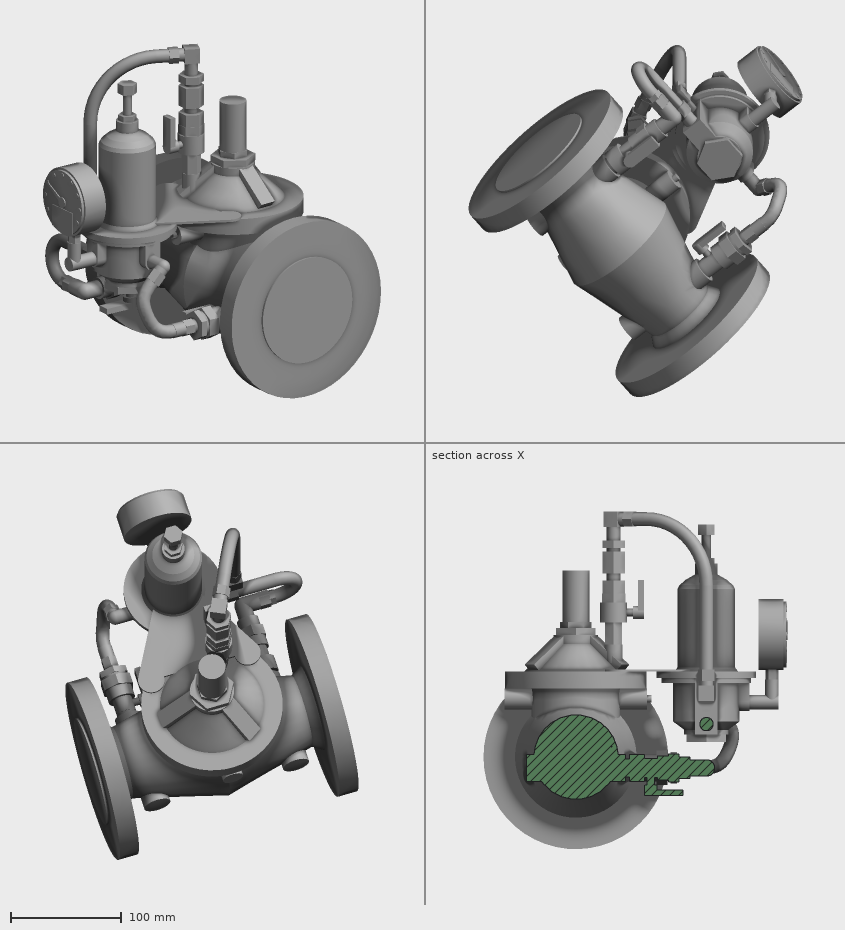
import math

import cadquery as cq

FACE_X = 115.0
RAISED_FACE_DIAMETER = 100.0
RAISED_FACE_HEIGHT = 2.0
FLANGE_DIAMETER = 167.0
FLANGE_THICKNESS = 18.0
HUB_RADIUS = 39.5
WAIST_RADIUS = 33.5
WAIST_X = 85.0
BELLY_RADIUS = 55.0
NECK_RADIUS = 40.0
FLANGE_BACK_X = FACE_X - RAISED_FACE_HEIGHT - FLANGE_THICKNESS

PORT_X = 65.7
PORT_Z = -9.8
PORT_BOSS_DIAMETER = 24.6
PORT_BOSS_Y = 45.0

PLUG_BOSS_RADIUS = 9.5
PLUG_BOSS_Y = 64.5
PLUG_DIAMETER = 6.6
PLUG_LENGTH = 4.1

BONNET_BOTTOM_Z = 62.0
BONNET_TOP_Z = 77.0
BONNET_RADIUS = 64.0
CONE_BASE_RADIUS = 47.0
CONE_TOP_RADIUS = 20.0
CONE_TOP_Z = 102.0
BONNET_NECK_Z = 110.0
BONNET_NUT_CORNERS = 41.0
BONNET_NUT_HEIGHT = 6.5
LOCK_NUT_CORNERS = 28.2
LOCK_NUT_HEIGHT = 5.5
CAP_DIAMETER = 24.4
CAP_TOP_Z = 168.5

RIB_COUNT = 3
RIB_FIRST_ANGLE = 3.5
RIB_WIDTH = 15.6
RIB_INNER_RADIUS = 17.5
RIB_OUTER_RADIUS = 50.3
RIB_THICKNESS = 7.0

PILOT_Y = -118.0
BRACKET_THICKNESS = 2.2
EAR_X = 45.5
EAR_Y = -38.5
EAR_RADIUS = 12.0
BRACKET_TIP_RADIUS = 14.0
PAD_REACH = 39.0
PAD_RADIUS = 8.0
PAD_Z = 49.4
BLOCK_WIDTH = 20.0
BLOCK_BOTTOM_Z = 20.3
BLOCK_REACH = 39.6
PILOT_FLANGE_RADIUS = 45.0
PILOT_RIM_Z = 71.2
PILOT_LOWER_RIM_RADIUS = 40.5
PILOT_LOWER_RIM_Z = 66.7
PILOT_BODY_RADIUS = 30.1
PILOT_BODY_BOTTOM_Z = 32.0
PILOT_FOOT_RADIUS = 20.0
PILOT_FOOT_TOP_Z = 24.5
BOTTOM_NUT_CORNERS = 41.6
BOTTOM_NUT_HEIGHT = 6.7
BELL_BASE_RADIUS = 29.0
BELL_BASE_Z = 81.0
BELL_RADIUS = 26.0
BELL_TOP_Z = 151.7
BELL_SHOULDERS = ((24.2, 155.3), (19.0, 160.0), (10.2, 165.0))
BELL_NECK_Z = 174.8
STEM_NUT_CORNERS = 17.0
STEM_NUT_HEIGHT = 5.2
STEM_DIAMETER = 8.2
STEM_LENGTH = 20.7
SCREW_HEAD_CORNERS = 17.6
SCREW_HEAD_HEIGHT = 9.3

GAUGE_RADIUS = 32.0
GAUGE_Z = 110.6
GAUGE_BACK_Y = -165.2
GAUGE_FRONT_Y = -188.0
GLASS_RADIUS = 30.0
GLASS_THICKNESS = 2.5
DIAL_Y = GAUGE_FRONT_Y - GLASS_THICKNESS
RELIEF = 0.6
HUB_HEIGHT = 1.0
DIAL_HUB_RADIUS = 5.0
MARKER_RADIUS = 2.2
MARKER_CIRCLE_RADIUS = 26.0
MARKER_ANGLES = range(-30, 211, 30)
POINTER_ANGLE = 150.0
POINTER_LENGTH = 25.0
POINTER_ROOT_WIDTH = 4.4
POINTER_TIP_WIDTH = 1.8
NAMEPLATE_WIDTH = 30.8
NAMEPLATE_HEIGHT = 20.2
NAMEPLATE_TOP_Z = GAUGE_Z - 5.8
GAUGE_RISER_Y = -177.4
GAUGE_RISER_RADIUS = 6.1
GAUGE_PIPE_RADIUS = 6.5
GAUGE_RISER_TOP_Z = 70.0
GAUGE_NUT_CORNERS = 12.0

HOSE_RADIUS = 6.2
ELBOW_SIZE = 14.0
COLUMN_RADIUS = 38.2
COLUMN_BASE_Z = 85.0
COLUMN_VALVE_Z = 130.6
UPPER_HOSE_Z = 215.05
UPPER_HOSE_BEND = 60.0
UPPER_PORT_X = -57.0
UPPER_PORT_Z = 57.4
LOWER_PORT_Z = 29.8
LOWER_LOOP_X = -96.0
UPPER_LINE_NUT_CORNERS = 15.6
UPPER_LINE_NUT_LENGTH = 9.0
UPPER_LINE_NUT_GAP = 5.0
UPPER_PORT_NUT_CORNERS = 14.6
UPPER_PORT_NUT_LENGTH = 10.3
UPPER_PORT_NUT_GAP = 4.3
UPPER_PORT_PIPE_DIAMETER = 11.6
LEFT_ELBOW_DIAMETER = 15.2
LEFT_COLLAR_CORNERS = 14.5
LEFT_COLLAR_LENGTH = 6.0
LOWER_PORT_NUT_CORNERS = 16.6
LOWER_PORT_NUT_LENGTH = 10.4
LOWER_PORT_NUT_GAP = 10.0

COLUMN_LEVER_OFFSET = 22.0
LEFT_LEVER_OFFSET = 19.7
RIGHT_LEVER_OFFSET = 19.0
LEFT_VALVE_Y = -67.5
RIGHT_VALVE_Y = -57.0
LEVER_WIDTH = 11.6
LEVER_THICKNESS = 5.5
LEVER_LENGTH = 29.5
LEVER_STEM_DIAMETER = 7.0
LEVER_KNOB_DIAMETER = 12.0
LEVER_KNOB_LENGTH = 10.0

RIGHT_ELBOW_X = 55.0
RIGHT_HOSE_BEND = 25.5
RIGHT_HOSE_SIDE_X = 58.0
RIGHT_HOSE_LOW_X = 61.5
RIGHT_NUT_LENGTH = 11.0
RIGHT_HOSE_START_Y = -115.7
RIGHT_NUT_CORNERS = 15.4

X_AXIS = cq.Vector(1, 0, 0)
Y_AXIS = cq.Vector(0, 1, 0)
Z_AXIS = cq.Vector(0, 0, 1)


def cylinder(start, direction, diameter, length):
    """Solid cylinder from a start point along a direction."""
    return cq.Solid.makeCylinder(diameter / 2, length, cq.Vector(*start), cq.Vector(*direction))


def hexagon(start, direction, corner_direction, corners, length):
    """Hexagonal prism; corners is its size across the corners."""
    plane = cq.Plane(cq.Vector(*start), cq.Vector(*corner_direction), cq.Vector(*direction))
    return cq.Workplane(plane).polygon(6, corners).extrude(length).val()


def box(center, size):
    """Box aligned with the axes."""
    return cq.Workplane().box(*size).translate(cq.Vector(*center)).val()


def fitting_stack(start, direction, corner_direction, sections):
    """Round and hexagonal (kind, diameter, length) sections placed end to end."""
    point = cq.Vector(*start)
    axis = cq.Vector(*direction).normalized()
    solids = []
    for kind, diameter, length in sections:
        if kind == "hex":
            piece = hexagon(point.toTuple(), axis.toTuple(), corner_direction, diameter, length)
        else:
            piece = cylinder(point.toTuple(), axis.toTuple(), diameter, length)
        solids.append(piece)
        point = point + axis * length
    return solids


def revolve_about_z(points, y=0.0):
    """Solid of revolution about a vertical axis from (radius, z) points."""
    profile = cq.Workplane("XZ").polyline(points).close()
    return profile.revolve(360, (0, 0), (0, 1)).val().translate(cq.Vector(0, y, 0))


def sweep_tube(edges, radius):
    """Round tube along a chain of edges."""
    path = cq.Wire.assembleEdges(edges)
    start = edges[0].startPoint()
    plane = cq.Plane(start, normal=edges[0].tangentAt(0))
    return cq.Workplane(plane).circle(radius).sweep(cq.Workplane(path)).val()


def ball(center, radius):
    """Sphere about a point."""
    return cq.Workplane().sphere(radius).translate(cq.Vector(*center)).val()


def valve_lever(valve_center, outward, along, offset):
    """Stem, knob and flat lever of a ball valve.

    outward: direction of the stem; along: direction of the lever;
    offset: distance from the valve axis to the inner side of the lever.
    """
    center = cq.Vector(*valve_center)
    knob_start = offset + LEVER_THICKNESS - LEVER_KNOB_LENGTH
    knob = cylinder((center + outward * knob_start).toTuple(), outward.toTuple(),
                    LEVER_KNOB_DIAMETER, LEVER_KNOB_LENGTH)
    stem = cylinder(center.toTuple(), outward.toTuple(), LEVER_STEM_DIAMETER, offset)
    plane = cq.Plane(center + outward * offset, along, outward)
    lever = cq.Workplane(plane).center(LEVER_LENGTH / 2, 0)
    lever = lever.rect(LEVER_LENGTH, LEVER_WIDTH).extrude(LEVER_THICKNESS).val()
    return [stem, knob, lever]


def main_body():
    """Double-cone body with two pipe flanges, neck and bosses."""
    half = [
        (0, BELLY_RADIUS),
        (WAIST_X, WAIST_RADIUS),
        (FLANGE_BACK_X, HUB_RADIUS),
        (FLANGE_BACK_X, FLANGE_DIAMETER / 2),
        (FACE_X - RAISED_FACE_HEIGHT, FLANGE_DIAMETER / 2),
        (FACE_X - RAISED_FACE_HEIGHT, RAISED_FACE_DIAMETER / 2),
        (FACE_X, RAISED_FACE_DIAMETER / 2),
        (FACE_X, 0),
    ]
    mirrored = [(-x, r) for x, r in reversed(half[1:])]
    outline = cq.Workplane("XY").polyline(mirrored + half).close()
    solids = [outline.revolve(360, (0, 0), (1, 0)).val()]
    solids.append(cylinder((0, 0, 0), (0, 0, 1), 2 * NECK_RADIUS, BONNET_BOTTOM_Z))
    for x in (-PORT_X, PORT_X):
        solids.append(cylinder((x, -PORT_BOSS_Y, PORT_Z), (0, 1, 0), PORT_BOSS_DIAMETER, 2 * PORT_BOSS_Y))
    plug_z = BONNET_BOTTOM_Z - PLUG_BOSS_RADIUS
    solids.append(cylinder((0, -PLUG_BOSS_Y, plug_z), (0, 1, 0), 2 * PLUG_BOSS_RADIUS, 2 * PLUG_BOSS_Y))
    solids.append(cylinder((0, -PLUG_BOSS_Y, plug_z), (0, -1, 0), PLUG_DIAMETER, PLUG_LENGTH))
    return solids


def bonnet_rib(angle):
    """Flat rib lying on the bonnet cone, square-ended at its foot."""
    run = CONE_BASE_RADIUS - CONE_TOP_RADIUS
    drop = CONE_TOP_Z - BONNET_TOP_Z
    slope_length = math.hypot(run, drop)
    foot_radius = RIB_OUTER_RADIUS - RIB_THICKNESS * drop / slope_length
    foot_z = BONNET_TOP_Z + (CONE_BASE_RADIUS - foot_radius) * drop / run
    corner_z = foot_z + RIB_THICKNESS * run / slope_length
    outline = [
        (0, foot_z),
        (foot_radius, foot_z),
        (RIB_OUTER_RADIUS, corner_z),
        (RIB_INNER_RADIUS, BONNET_NECK_Z),
        (0, BONNET_NECK_Z),
    ]
    rib = cq.Workplane("XZ").polyline(outline).close().extrude(RIB_WIDTH / 2, both=True)
    return rib.rotate((0, 0, 0), (0, 0, 1), angle).val()


def bonnet():
    """Bonnet flange, cone, ribs, nuts and the cap on top."""
    solids = [revolve_about_z([
        (0, BONNET_BOTTOM_Z),
        (BONNET_RADIUS, BONNET_BOTTOM_Z),
        (BONNET_RADIUS, BONNET_TOP_Z),
        (CONE_BASE_RADIUS, BONNET_TOP_Z),
        (CONE_TOP_RADIUS, CONE_TOP_Z),
        (CONE_TOP_RADIUS, BONNET_NECK_Z),
        (0, BONNET_NECK_Z),
    ])]
    for index in range(RIB_COUNT):
        solids.append(bonnet_rib(RIB_FIRST_ANGLE + index * 360 / RIB_COUNT))
    solids.append(hexagon((0, 0, BONNET_NECK_Z), (0, 0, 1), (1, 0, 0),
                          BONNET_NUT_CORNERS, BONNET_NUT_HEIGHT))
    lock_nut_z = BONNET_NECK_Z + BONNET_NUT_HEIGHT
    solids.append(hexagon((0, 0, lock_nut_z), (0, 0, 1), (0, 1, 0), LOCK_NUT_CORNERS, LOCK_NUT_HEIGHT))
    cap_base_z = lock_nut_z + LOCK_NUT_HEIGHT
    solids.append(cylinder((0, 0, cap_base_z), (0, 0, 1), CAP_DIAMETER, CAP_TOP_Z - cap_base_z))
    return solids


def bracket():
    """Thin plate with two rounded ears, tapering from the bonnet to the pilot."""
    centre_distance = math.hypot(EAR_X, EAR_Y - PILOT_Y)
    lean = math.atan2(EAR_X, EAR_Y - PILOT_Y)
    lean += math.asin((EAR_RADIUS - BRACKET_TIP_RADIUS) / centre_distance)
    side_x = math.cos(lean)
    side_y = -math.sin(lean)
    right = [
        (BRACKET_TIP_RADIUS * side_x, PILOT_Y + BRACKET_TIP_RADIUS * side_y),
        (EAR_X + EAR_RADIUS * side_x, EAR_Y + EAR_RADIUS * side_y),
        (EAR_X, EAR_Y),
    ]
    left = [(-x, y) for x, y in reversed(right)]
    plate = cq.Workplane("XY", origin=(0, 0, BONNET_TOP_Z)).polyline(right + left).close()
    plate = plate.extrude(BRACKET_THICKNESS)
    for x in (-EAR_X, EAR_X):
        ear = cylinder((x, EAR_Y, BONNET_TOP_Z), (0, 0, 1), 2 * EAR_RADIUS, BRACKET_THICKNESS)
        plate = plate.union(cq.Workplane(ear))
    return [plate.val()]


def pilot_valve():
    """Pilot body, spring bell, adjusting screw, side block and pads."""
    outline = [
        (0, BLOCK_BOTTOM_Z),
        (PILOT_FOOT_RADIUS, BLOCK_BOTTOM_Z),
        (PILOT_FOOT_RADIUS, PILOT_FOOT_TOP_Z),
        (PILOT_BODY_RADIUS, PILOT_BODY_BOTTOM_Z),
        (PILOT_BODY_RADIUS, PILOT_LOWER_RIM_Z),
        (PILOT_LOWER_RIM_RADIUS, PILOT_LOWER_RIM_Z),
        (PILOT_LOWER_RIM_RADIUS, PILOT_RIM_Z),
        (PILOT_FLANGE_RADIUS, PILOT_RIM_Z),
        (PILOT_FLANGE_RADIUS, BONNET_TOP_Z),
        (BELL_BASE_RADIUS, BONNET_TOP_Z),
        (BELL_RADIUS, BELL_BASE_Z),
        (BELL_RADIUS, BELL_TOP_Z),
    ]
    neck_radius = BELL_SHOULDERS[-1][0]
    outline += list(BELL_SHOULDERS)
    outline += [(neck_radius, BELL_NECK_Z), (0, BELL_NECK_Z)]
    solids = [revolve_about_z(outline, PILOT_Y)]
    solids += fitting_stack((0, PILOT_Y, BELL_NECK_Z), (0, 0, 1), (1, 0, 0), [
        ("hex", STEM_NUT_CORNERS, STEM_NUT_HEIGHT),
        ("round", STEM_DIAMETER, STEM_LENGTH),
        ("hex", SCREW_HEAD_CORNERS, SCREW_HEAD_HEIGHT),
    ])
    solids.append(hexagon((0, PILOT_Y, BLOCK_BOTTOM_Z), (0, 0, -1), (1, 0, 0),
                          BOTTOM_NUT_CORNERS, BOTTOM_NUT_HEIGHT))
    block_height = PILOT_RIM_Z - BLOCK_BOTTOM_Z
    solids.append(box((-BLOCK_REACH / 2, PILOT_Y, BLOCK_BOTTOM_Z + block_height / 2),
                      (BLOCK_REACH, BLOCK_WIDTH, block_height)))
    pad_height = PILOT_LOWER_RIM_Z - PAD_Z
    pad_mid_z = PAD_Z + pad_height / 2
    solids.append(cylinder((0, PILOT_Y, PAD_Z), (1, 0, 0), 2 * PAD_RADIUS, PAD_REACH))
    solids.append(box((PAD_REACH / 2, PILOT_Y, pad_mid_z), (PAD_REACH, 2 * PAD_RADIUS, pad_height)))
    solids.append(cylinder((0, PILOT_Y, PAD_Z), (0, -1, 0), 2 * PAD_RADIUS, PAD_REACH))
    solids.append(box((0, PILOT_Y - PAD_REACH / 2, pad_mid_z), (2 * PAD_RADIUS, PAD_REACH, pad_height)))
    return solids


def gauge():
    """Pressure gauge with its dial details and the pipe that carries it."""
    center = (0, GAUGE_BACK_Y, GAUGE_Z)
    solids = [cylinder(center, (0, -1, 0), 2 * GAUGE_RADIUS, GAUGE_BACK_Y - GAUGE_FRONT_Y)]
    solids.append(cylinder(center, (0, -1, 0), 2 * GLASS_RADIUS, GAUGE_BACK_Y - DIAL_Y))
    for angle in MARKER_ANGLES:
        x = MARKER_CIRCLE_RADIUS * math.cos(math.radians(angle))
        z = GAUGE_Z + MARKER_CIRCLE_RADIUS * math.sin(math.radians(angle))
        solids.append(cylinder((x, GAUGE_FRONT_Y, z), (0, -1, 0),
                               2 * MARKER_RADIUS, GLASS_THICKNESS + RELIEF))
    solids.append(cylinder((0, GAUGE_FRONT_Y, GAUGE_Z), (0, -1, 0),
                           2 * DIAL_HUB_RADIUS, GLASS_THICKNESS + HUB_HEIGHT))
    solids.append(box((0, DIAL_Y, NAMEPLATE_TOP_Z - NAMEPLATE_HEIGHT / 2),
                      (NAMEPLATE_WIDTH, 2 * RELIEF, NAMEPLATE_HEIGHT)))
    pointer = cq.Workplane("XZ").polyline([
        (0, -POINTER_ROOT_WIDTH / 2),
        (POINTER_LENGTH, -POINTER_TIP_WIDTH / 2),
        (POINTER_LENGTH, POINTER_TIP_WIDTH / 2),
        (0, POINTER_ROOT_WIDTH / 2),
    ]).close().extrude(HUB_HEIGHT)
    pointer = pointer.rotate((0, 0, 0), (0, -1, 0), POINTER_ANGLE)
    solids.append(pointer.translate((0, DIAL_Y, GAUGE_Z)).val())

    pipe_start_y = PILOT_Y - PAD_REACH
    pipe_end_y = GAUGE_RISER_Y - GAUGE_RISER_RADIUS
    solids.append(cylinder((0, pipe_start_y, PAD_Z), (0, -1, 0), 2 * GAUGE_PIPE_RADIUS,
                           pipe_start_y - pipe_end_y))
    nut_height = GAUGE_Z - GAUGE_RADIUS / 2 - GAUGE_RISER_TOP_Z
    solids += fitting_stack((0, GAUGE_RISER_Y, PAD_Z), (0, 0, 1), (0, 1, 0), [
        ("round", 2 * GAUGE_RISER_RADIUS, GAUGE_RISER_TOP_Z - PAD_Z),
        ("hex", GAUGE_NUT_CORNERS, nut_height),
    ])
    return solids


def upper_line():
    """Valve column on the third rib and the hose from its top to the pilot."""
    rib_angle = RIB_FIRST_ANGLE + 2 * 360 / RIB_COUNT
    column_x = COLUMN_RADIUS * math.cos(math.radians(rib_angle))
    column_y = COLUMN_RADIUS * math.sin(math.radians(rib_angle))
    column = [
        ("round", 16.4, 16.7),
        ("hex", 17.6, 20.0),
        ("round", 24.4, 17.8),
        ("hex", 24.4, 8.4),
        ("hex", 23.5, 11.8),
        ("round", 12.4, 6.3),
        ("hex", 23.5, 19.5),
        ("round", 12.4, 3.5),
        ("hex", 23.5, 6.8),
    ]
    stacked_height = sum(length for _, _, length in column)
    column.append(("round", 12.4, UPPER_HOSE_Z - COLUMN_BASE_Z - stacked_height))
    solids = fitting_stack((column_x, column_y, COLUMN_BASE_Z), (0, 0, 1), (1, 0, 0), column)
    solids += valve_lever((column_x, column_y, COLUMN_VALVE_Z), -Y_AXIS, Z_AXIS, COLUMN_LEVER_OFFSET)

    heading = cq.Vector(UPPER_PORT_X - column_x, PILOT_Y - column_y, 0)
    span = heading.Length
    heading = heading.normalized()
    top = cq.Vector(column_x, column_y, UPPER_HOSE_Z)
    elbow = cq.Workplane(cq.Plane(top, heading, Z_AXIS)).box(ELBOW_SIZE, ELBOW_SIZE, ELBOW_SIZE)
    solids.append(elbow.val())
    nut_start = top + heading * (ELBOW_SIZE / 2 + UPPER_LINE_NUT_GAP)
    solids.append(hexagon(nut_start.toTuple(), heading.toTuple(), heading.cross(Z_AXIS).toTuple(),
                          UPPER_LINE_NUT_CORNERS, UPPER_LINE_NUT_LENGTH))
    bend_start = top + heading * (span - UPPER_HOSE_BEND)
    bend_center = bend_start - Z_AXIS * UPPER_HOSE_BEND
    bend_middle = bend_center + (heading + Z_AXIS) * (UPPER_HOSE_BEND / math.sqrt(2))
    bend_end = bend_center + heading * UPPER_HOSE_BEND
    lower_end = cq.Vector(UPPER_PORT_X, PILOT_Y, UPPER_PORT_Z)
    solids.append(sweep_tube([
        cq.Edge.makeLine(top, bend_start),
        cq.Edge.makeThreePointArc(bend_start, bend_middle, bend_end),
        cq.Edge.makeLine(bend_end, lower_end),
    ], HOSE_RADIUS))
    nut_base = lower_end + Z_AXIS * (ELBOW_SIZE / 2 + UPPER_PORT_NUT_GAP)
    solids.append(hexagon(nut_base.toTuple(), (0, 0, 1), (0, 1, 0),
                          UPPER_PORT_NUT_CORNERS, UPPER_PORT_NUT_LENGTH))
    solids.append(box(lower_end.toTuple(), (ELBOW_SIZE, ELBOW_SIZE, ELBOW_SIZE)))
    solids.append(cylinder(lower_end.toTuple(), (1, 0, 0), UPPER_PORT_PIPE_DIAMETER,
                           -BLOCK_REACH - UPPER_PORT_X))
    return solids


def left_line():
    """Left port fittings and the U-shaped tube to the pilot block."""
    solids = fitting_stack((-PORT_X, -PORT_BOSS_Y, PORT_Z), (0, -1, 0), (0, 0, 1), [
        ("round", 17.0, 3.0),
        ("round", 24.8, 14.0),
        ("round", 17.8, 11.6),
        ("round", 22.0, 9.7),
        ("hex", 26.0, 9.9),
        ("round", 20.0, 10.1),
        ("round", LEFT_ELBOW_DIAMETER, 14.7),
    ])
    solids += valve_lever((-PORT_X, LEFT_VALVE_Y, PORT_Z), -Z_AXIS, -Y_AXIS, LEFT_LEVER_OFFSET)
    elbow = (-PORT_X, PILOT_Y, PORT_Z)
    solids.append(ball(elbow, LEFT_ELBOW_DIAMETER / 2))
    solids += fitting_stack(elbow, (-1, 0, 0), (0, 0, 1), [
        ("round", LEFT_ELBOW_DIAMETER, 15.3),
        ("hex", 16.0, 10.0),
    ])
    solids.append(hexagon((LOWER_LOOP_X, PILOT_Y, PORT_Z), (1, 0, 0), (0, 1, 0),
                          LEFT_COLLAR_CORNERS, LEFT_COLLAR_LENGTH))
    bend_radius = (LOWER_PORT_Z - PORT_Z) / 2
    bend_bottom = cq.Vector(LOWER_LOOP_X, PILOT_Y, PORT_Z)
    bend_top = cq.Vector(LOWER_LOOP_X, PILOT_Y, LOWER_PORT_Z)
    bend_side = cq.Vector(LOWER_LOOP_X - bend_radius, PILOT_Y, PORT_Z + bend_radius)
    tube_end = cq.Vector(-BLOCK_REACH, PILOT_Y, LOWER_PORT_Z)
    solids.append(sweep_tube([
        cq.Edge.makeLine(cq.Vector(*elbow), bend_bottom),
        cq.Edge.makeThreePointArc(bend_bottom, bend_side, bend_top),
        cq.Edge.makeLine(bend_top, tube_end),
    ], HOSE_RADIUS))
    nut_start_x = -BLOCK_REACH - LOWER_PORT_NUT_GAP
    solids.append(hexagon((nut_start_x, PILOT_Y, LOWER_PORT_Z), (-1, 0, 0), (0, 0, 1),
                          LOWER_PORT_NUT_CORNERS, LOWER_PORT_NUT_LENGTH))
    return solids


def right_line():
    """Right port fittings and the looped hose up to the pilot pad."""
    solids = fitting_stack((PORT_X, -PORT_BOSS_Y, PORT_Z), (0, -1, 0), (0, 0, 1), [
        ("round", 17.6, 3.5),
        ("round", 18.2, 14.1),
        ("round", 24.6, 10.4),
        ("hex", 31.0, 9.9),
        ("round", 24.4, 2.7),
        ("hex", 28.2, 5.8),
        ("round", 12.8, 2.8),
        ("hex", 15.2, 10.1),
        ("round", 13.2, 11.3),
    ])
    solids += valve_lever((PORT_X, RIGHT_VALVE_Y, PORT_Z), -X_AXIS, -Y_AXIS, RIGHT_LEVER_OFFSET)

    elbow = cq.Vector(RIGHT_ELBOW_X, PILOT_Y, PAD_Z)
    hose_start = cq.Vector(PORT_X, RIGHT_HOSE_START_Y, PORT_Z)
    bend = RIGHT_HOSE_BEND
    bend_center = hose_start + Z_AXIS * bend
    to_elbow = elbow - bend_center
    elbow_angle = math.atan2(to_elbow.z, to_elbow.y)
    tangent_angle = elbow_angle + math.acos(bend / math.hypot(to_elbow.y, to_elbow.z))

    def on_bend(angle, x):
        y = bend_center.y + bend * math.cos(angle)
        z = bend_center.z + bend * math.sin(angle)
        return cq.Vector(x, y, z)

    bend_low = on_bend(1.25 * math.pi, RIGHT_HOSE_LOW_X)
    bend_side = on_bend(math.pi, RIGHT_HOSE_SIDE_X)
    bend_end = on_bend(tangent_angle, RIGHT_ELBOW_X)
    loop = cq.Edge.makeSpline([hose_start, bend_low, bend_side, bend_end], [-Y_AXIS, elbow - bend_end])
    stack_end = cq.Vector(PORT_X, -PORT_BOSS_Y, PORT_Z)
    solids.append(sweep_tube([
        cq.Edge.makeLine(stack_end, hose_start),
        loop,
        cq.Edge.makeLine(bend_end, elbow),
    ], HOSE_RADIUS))
    solids.append(ball(elbow.toTuple(), GAUGE_PIPE_RADIUS))
    downward = (bend_end - elbow).normalized()
    nut_start = elbow + downward * GAUGE_PIPE_RADIUS
    solids.append(hexagon(nut_start.toTuple(), downward.toTuple(), downward.cross(X_AXIS).toTuple(),
                          RIGHT_NUT_CORNERS, RIGHT_NUT_LENGTH))
    solids.append(cylinder((PAD_REACH, PILOT_Y, PAD_Z), (1, 0, 0), 2 * GAUGE_PIPE_RADIUS,
                           RIGHT_ELBOW_X - PAD_REACH))
    return solids


components = main_body() + bonnet() + bracket() + pilot_valve() + gauge()
components += upper_line() + left_line() + right_line()
assembled = components[0].fuse(*components[1:])
result = cq.Workplane(assembled.Solids()[0])